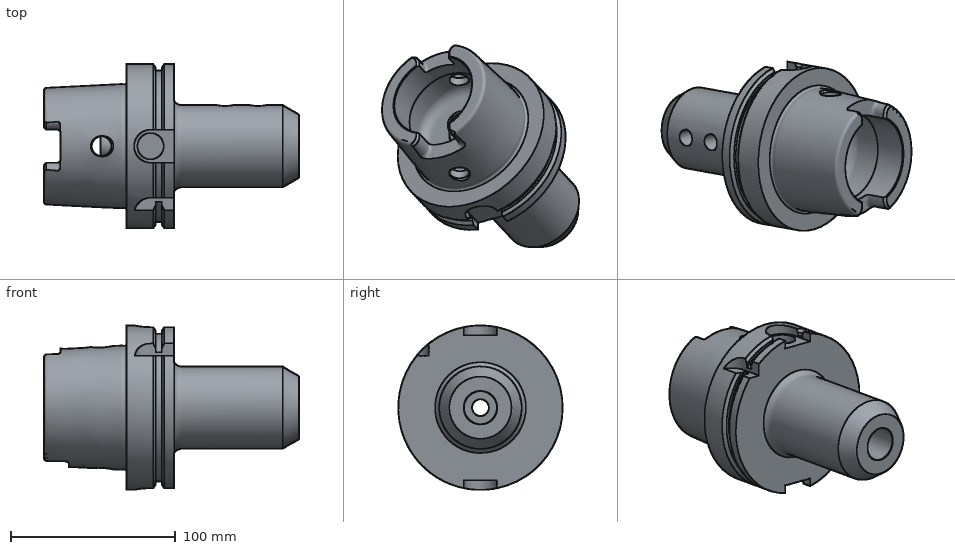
import cadquery as cq
import math

total_length = 155.0
flange_start = 50.0
flange_end = 79.0
flange_radius = 100.0 / 2
shank_radius = 50.0 / 2

taper_end = 47.3
taper_end_radius = 37.8
taper_slope = 1 / 20
taper_tip_radius = taper_end_radius - taper_slope * taper_end
tip_fillet = 1.9
relief_start = 48.2
relief_arc_start = 49.1
relief_radius = 37.7
relief_edge_radius = 39.4

groove_left = 66.3
groove_right = 73.2
groove_chamfer = 1.5
groove_shoulder_radius = 47.7
groove_floor_radius = 46.0

root_radius = 27.6
root_length = 4.8
nose_length = 10.0
nose_angle = 30
nose_edge_chamfer = 0.8

cavity_radius = 26.5
cavity_mouth_radius = 27.0
cavity_depth = 46.3
cavity_floor_fillet = 6.4
clamp_recess_radius = 31.5
clamp_recess_start = 20.3
clamp_recess_angle = 60

nut_radius = 24.0 / 2
nut_length = 2.3
nut_chamfer = 0.8
tube_tip = 34.3
tube_taper_end = 37.5
tube_radius = 16.0 / 2
tube_tip_radius = 15.3 / 2
coolant_radius = 10.0 / 2
coolant_mouth_radius = 12.0 / 2

slot_half_width = 20.0 / 2
slot_depth_top = 10.0
slot_depth_bottom = 15.0
slot_wall_height = 27.0
slot_corner_radius = 5.7
slot_floor_fillet = 1.9
slot_mouth_chamfer = 1.47
slot_mouth_angle = 45
slot_reach = 40.3

access_x = 35.0
access_radius = 12.0 / 2
access_rim_radius = 6.8

keyway_radius = 20.0 / 2
keyway_x = 64.8
keyway_floor = 44.0
pocket_radius = 16.0 / 2
pocket_depth = 5.0
notch_wall_y = -31.3
notch_floor_z = 31.5

bore_radius = 20.0 / 2
bore_mouth_radius = 20.5 / 2
bore_depth = 51.2
screw_radius = 10.0 / 2
screw_distances = (25.0, 45.0)


def revolve_x(profile):
    """Turn a closed (x, radius) profile about the X axis."""
    return profile.close().revolve(360, (0, 0, 0), (1, 0, 0))


def tangent_arc_radius(run, rise):
    """Radius of an arc that leaves along X and then moves by run and rise."""
    return (run**2 + rise**2) / (2 * rise)


def outer_body():
    root_arc = tangent_arc_radius(root_length, root_radius - shank_radius)
    nose_cone_length = nose_length - nose_edge_chamfer
    nose_radius = shank_radius - nose_cone_length * math.tan(math.radians(nose_angle))
    profile = (
        cq.Workplane("XY")
        .moveTo(0, 0)
        .lineTo(0, taper_tip_radius)
        .lineTo(taper_end, taper_end_radius)
        .lineTo(relief_start, relief_radius)
        .lineTo(relief_arc_start, relief_radius)
        .tangentArcPoint((flange_start, relief_edge_radius), relative=False)
        .lineTo(flange_start, flange_radius)
        .lineTo(groove_left, flange_radius)
        .lineTo(groove_left + groove_chamfer, groove_shoulder_radius)
        .lineTo(groove_left + groove_chamfer, groove_floor_radius)
        .lineTo(groove_right - groove_chamfer, groove_floor_radius)
        .lineTo(groove_right - groove_chamfer, groove_shoulder_radius)
        .lineTo(groove_right, flange_radius)
        .lineTo(flange_end, flange_radius)
        .lineTo(flange_end, root_radius)
        .radiusArc((flange_end + root_length, shank_radius), -root_arc)
        .lineTo(total_length - nose_length, shank_radius)
        .lineTo(total_length - nose_edge_chamfer, nose_radius)
        .lineTo(total_length, nose_radius - nose_edge_chamfer)
        .lineTo(total_length, 0)
    )
    return revolve_x(profile).faces("<X").edges().fillet(tip_fillet)


def cavity():
    mouth = cavity_mouth_radius - cavity_radius
    ramp = (clamp_recess_radius - cavity_radius) / math.tan(math.radians(clamp_recess_angle))
    profile = (
        cq.Workplane("XY")
        .moveTo(0, 0)
        .lineTo(0, cavity_mouth_radius)
        .lineTo(mouth, cavity_radius)
        .lineTo(clamp_recess_start, cavity_radius)
        .lineTo(clamp_recess_start + ramp, clamp_recess_radius)
        .lineTo(cavity_depth - cavity_floor_fillet, clamp_recess_radius)
        .radiusArc((cavity_depth, clamp_recess_radius - cavity_floor_fillet), cavity_floor_fillet)
        .lineTo(cavity_depth, 0)
    )
    return revolve_x(profile)


def tube_and_nut():
    nut_face = cavity_depth - nut_length
    profile = (
        cq.Workplane("XY")
        .moveTo(tube_tip, 0)
        .lineTo(tube_tip, tube_tip_radius)
        .lineTo(tube_taper_end, tube_radius)
        .lineTo(nut_face, tube_radius)
        .lineTo(nut_face, nut_radius - nut_chamfer)
        .lineTo(nut_face + nut_chamfer, nut_radius)
        .lineTo(flange_start, nut_radius)
        .lineTo(flange_start, 0)
    )
    return revolve_x(profile)


def coolant_and_tool_bore():
    coolant_mouth = coolant_mouth_radius - coolant_radius
    bore_mouth = bore_mouth_radius - bore_radius
    profile = (
        cq.Workplane("XY")
        .moveTo(tube_tip, 0)
        .lineTo(tube_tip, coolant_mouth_radius)
        .lineTo(tube_tip + coolant_mouth, coolant_radius)
        .lineTo(total_length - bore_depth, coolant_radius)
        .lineTo(total_length - bore_depth, bore_radius)
        .lineTo(total_length - bore_mouth, bore_radius)
        .lineTo(total_length, bore_mouth_radius)
        .lineTo(total_length, 0)
    )
    return revolve_x(profile)


def slot_outline(grow):
    """Slot section across X, widening outwards along a rounded corner; grow offsets every wall."""
    half = slot_half_width + grow
    arc = slot_corner_radius - grow
    top = slot_wall_height + arc
    bend = arc * math.sqrt(0.5)
    middle = half + arc - bend
    return (
        cq.Workplane("YZ")
        .moveTo(-half, 0)
        .lineTo(-half, slot_wall_height)
        .threePointArc((-middle, slot_wall_height + bend), (-half - arc, top))
        .lineTo(-slot_reach, top)
        .lineTo(-slot_reach, slot_reach)
        .lineTo(slot_reach, slot_reach)
        .lineTo(slot_reach, top)
        .lineTo(half + arc, top)
        .threePointArc((middle, slot_wall_height + bend), (half, slot_wall_height))
        .lineTo(half, 0)
        .close()
    )


def drive_slot(depth):
    slot = slot_outline(0).extrude(depth)
    margin = 1.5
    limit = slot_reach - margin
    wall_zone = cq.selectors.BoxSelector((depth - margin, -limit, margin), (depth + margin, limit, limit))
    slot = slot.faces(">X").edges(wall_zone).fillet(slot_floor_fillet)
    mouth = slot_outline(slot_mouth_chamfer).extrude(slot_mouth_chamfer, taper=slot_mouth_angle)
    return slot.union(mouth)


def access_hole():
    """Radial hole from the axis outwards with a 45 degree countersunk rim."""
    surface = taper_tip_radius + taper_slope * access_x
    rim_depth = access_rim_radius - access_radius
    overshoot = 1.5
    hole = cq.Workplane("XY", (access_x, 0, 0)).circle(access_radius).extrude(flange_radius)
    rim_bottom = cq.Vector(access_x, 0, surface - rim_depth)
    rim = cq.Solid.makeCone(
        access_radius, access_rim_radius + overshoot, rim_depth + overshoot, rim_bottom
    )
    return hole.union(cq.Workplane(rim))


def round_ended_cut(centre_y, floor_z):
    """Flat-floored cut down from the flange rim, round at one end and open towards the shank."""
    depth = flange_radius - floor_z
    run = flange_end - keyway_x
    plane = cq.Workplane("XY", (keyway_x, centre_y, floor_z))
    straight = plane.center(run / 2, 0).rect(run, 2 * keyway_radius).extrude(depth)
    return plane.circle(keyway_radius).extrude(depth).union(straight)


def keyway():
    return round_ended_cut(0, keyway_floor)


def keyway_pocket():
    plane = cq.Workplane("XY", (keyway_x, 0, keyway_floor - pocket_depth))
    return plane.circle(pocket_radius).extrude(pocket_depth)


def orientation_notch():
    """Step across the flange corner with one upright wall and a level floor."""
    return round_ended_cut(notch_wall_y - keyway_radius, notch_floor_z)


def screw_hole(distance):
    plane = cq.Workplane("XZ", (total_length - distance, 0, 0))
    return plane.circle(screw_radius).extrude(-flange_radius)


def flipped(cutter):
    """Turn a cutter half way round the X axis to the opposite side."""
    return cutter.rotate((0, 0, 0), (1, 0, 0), 180)


result = outer_body().cut(cavity())
result = result.cut(drive_slot(slot_depth_top)).cut(flipped(drive_slot(slot_depth_bottom)))
result = result.cut(access_hole()).cut(flipped(access_hole()))
result = result.union(tube_and_nut()).cut(coolant_and_tool_bore())
result = result.cut(keyway()).cut(flipped(keyway())).cut(keyway_pocket())
result = result.cut(orientation_notch())
for screw_distance in screw_distances:
    result = result.cut(screw_hole(screw_distance))